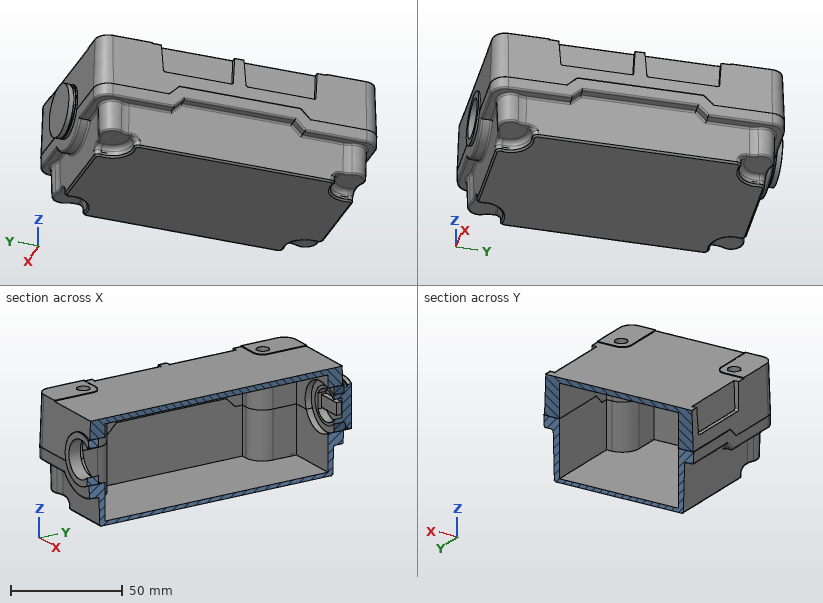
import cadquery as cq
import math

BASE_DRAFT = 1.5
COVER_DRAFT = 2.0
BASE_SLOPE = math.tan(math.radians(BASE_DRAFT))
COVER_SLOPE = math.tan(math.radians(COVER_DRAFT))

LENGTH = 140.7
WIDTH = 80.0
HEIGHT = 52.0
SIDE_JOINT_Z = 31.5
END_JOINT_Z = 26.7
JOINT_RAMP = 45.0
JOINT_FLAT_HALF = 29.1

RIM_HALF_X = WIDTH / 2
RIM_HALF_Y = 68.0
RIM_CORNER_R = 7.0
RIM_DEPTH = 6.2
RIM_ROUND = 0.8

WALL_HALF_X = 34.5
WALL_HALF_Y = 62.0
WALL_CHAMFER = 0.8

POST_INSET = 4.2
POST_R = 5.6
POST_BLEND_R = 9.3
NOTCH_INSET = 4.6
NOTCH_R = 9.5
NOTCH_TOP_Z = 5.2
NOTCH_CEILING_R = 2.3
NOTCH_SIDE_R = 2.3
POST_END_R = 0.8

PAD_STEP = 0.4
PAD_INNER_X = 23.9
PAD_INNER_Y = 41.8
PAD_R = 4.8
SCREW_X = 30.1
SCREW_Y = 47.7
SCREW_HOLE_D = 6.0

GRIP_FLOOR_Z = 37.8
GRIP_TOP_X = 36.6
GRIP_FLOOR_X = 37.5
GRIP_NEAR_Y = 2.3
GRIP_FAR_Y = 37.4
GRIP_TAPER = 0.8
GRIP_CORNER_R = 1.1

FLOOR = 2.3
ROOF = 3.0
CAVITY_HALF_X = 31.5
CAVITY_HALF_Y = 59.1
COLUMN_WALL = 4.1
COLUMN_R = PAD_R + COLUMN_WALL

PORT_Z = 31.5
BUSHING_D = 25.0
BORE_D = 18.7
BUSHING_BACK_Y = 62.3
BUSHING_FACE_Y = 68.8
LOBE_R = 18.4

PLUG_FACE_Y = LENGTH - BUSHING_FACE_Y
PLUG_HEAD = 2.4
PLUG_NECK_D = 23.3
PLUG_POCKET_D = 15.8
PLUG_POCKET_WIDTH = 13.8
PLUG_POCKET_DEPTH = 4.2
PLUG_BAR_WIDTH = 12.7
PLUG_BAR_HEIGHT = 6.2
PLUG_BAR_DEPTH = 1.4

SIGNS = (-1, 1)
TOLERANCE = 0.1
BESIDE_WALL = 1.4
CORNERS = [(sx, sy) for sx in SIGNS for sy in SIGNS]


def drafted_block(z, height, half_x, half_y, draft):
    """Rounded block with the given half sizes at z, narrowing towards its far end."""
    outline = cq.Sketch().rect(2 * half_x, 2 * half_y).vertices().fillet(RIM_CORNER_R)
    return cq.Workplane("XY").workplane(offset=z).placeSketch(outline).extrude(height, taper=draft)


def below_joint(drop):
    """Everything below the stepped joint, lowered by drop square to each stretch."""
    shift = drop * math.tan(math.radians(JOINT_RAMP / 2))
    inner = JOINT_FLAT_HALF - shift
    outer = inner + (SIDE_JOINT_Z - END_JOINT_Z) / math.tan(math.radians(JOINT_RAMP))
    far = 2 * RIM_HALF_Y
    points = [
        (-far, -HEIGHT),
        (-far, END_JOINT_Z - drop),
        (-outer, END_JOINT_Z - drop),
        (-inner, SIDE_JOINT_Z - drop),
        (inner, SIDE_JOINT_Z - drop),
        (outer, END_JOINT_Z - drop),
        (far, END_JOINT_Z - drop),
        (far, -HEIGHT),
    ]
    return cq.Workplane("YZ").polyline(points).close().extrude(2 * RIM_HALF_X, both=True)


def port_cylinder(diameter, y_start, y_end):
    plane = cq.Plane(origin=(0, y_start, PORT_Z), xDir=(1, 0, 0), normal=(0, 1, 0))
    return cq.Workplane(plane).circle(diameter / 2).extrude(y_end - y_start)


def ports():
    """Round opening for the bushings through both ends of the housing."""
    return port_cylinder(BUSHING_D, -2 * RIM_HALF_Y, 2 * RIM_HALF_Y)


def cavity():
    """Inner space shared by base and cover, with a screw column left standing in each corner."""
    height = HEIGHT - PAD_STEP - ROOF - FLOOR
    space = cq.Workplane("XY").workplane(offset=FLOOR)
    space = space.rect(2 * CAVITY_HALF_X, 2 * CAVITY_HALF_Y).extrude(height)
    column_x = PAD_INNER_X - COLUMN_WALL
    column_y = PAD_INNER_Y - COLUMN_WALL
    for sx, sy in CORNERS:
        space = space.cut(mirrored(corner_block(column_x, column_y, COLUMN_R), sx, sy))
    return space


def corner_block(inner_x, inner_y, inner_r):
    """Full-height block over the +X +Y corner, with its one inner vertical edge rounded."""
    block = cq.Workplane("XY").box(RIM_HALF_X, RIM_HALF_Y, 2 * HEIGHT, centered=False)
    return block.edges("|Z and <X and <Y").fillet(inner_r).translate((inner_x, inner_y, 0))


def mirrored(shape, sx, sy):
    """Copy of a shape made for the +X +Y corner, moved to the corner with the given signs."""
    if sx < 0:
        shape = shape.mirror("YZ")
    if sy < 0:
        shape = shape.mirror("XZ")
    return shape


def wall_outline(half_x, half_y):
    """Outline of the base walls with a rounded post blended into each corner."""
    post_x = half_x - POST_INSET
    post_y = half_y - POST_INSET
    reach = math.sqrt((POST_R + POST_BLEND_R) ** 2 - (POST_INSET + POST_BLEND_R) ** 2)
    share = POST_R / (POST_R + POST_BLEND_R)
    along = reach * share
    across = (POST_INSET + POST_BLEND_R) * share
    half_angle = math.atan2(reach, POST_INSET + POST_BLEND_R) / 2
    bend_along = reach - POST_BLEND_R * math.sin(half_angle)
    bend_across = POST_INSET + POST_BLEND_R * (1 - math.cos(half_angle))
    tip = POST_R / math.sqrt(2)

    def corner(sx, sy):
        return [
            (sx * (post_x - reach), sy * half_y),
            (sx * (post_x - bend_along), sy * (post_y + bend_across)),
            (sx * (post_x - along), sy * (post_y + across)),
            (sx * (post_x + tip), sy * (post_y + tip)),
            (sx * (post_x + across), sy * (post_y - along)),
            (sx * (post_x + bend_across), sy * (post_y - bend_along)),
            (sx * half_x, sy * (post_y - reach)),
        ]

    rounds = [corner(1, 1), corner(1, -1)[::-1], corner(-1, -1), corner(-1, 1)[::-1]]
    outline = cq.Workplane("XY").moveTo(*rounds[0][0])
    for index, points in enumerate(rounds):
        if index > 0:
            outline = outline.lineTo(*points[0])
        for middle, end in ((1, 2), (3, 4), (5, 6)):
            outline = outline.threePointArc(points[middle], points[end])
    return outline.close()


def base_walls():
    """Drafted walls and posts, with a rounded foot notch cut under each post."""
    notch_x = WALL_HALF_X - NOTCH_INSET
    notch_y = WALL_HALF_Y - NOTCH_INSET
    walls = wall_outline(WALL_HALF_X, WALL_HALF_Y).extrude(SIDE_JOINT_Z, taper=-BASE_DRAFT)
    notches = (
        cq.Workplane("XY")
        .rect(2 * notch_x, 2 * notch_y, forConstruction=True)
        .vertices()
        .circle(NOTCH_R)
        .extrude(NOTCH_TOP_Z)
    )
    walls = walls.cut(notches)

    def is_upright(edge):
        return abs(edge.BoundingBox().zlen - NOTCH_TOP_Z) < TOLERANCE

    def is_notch_top(edge):
        box = edge.BoundingBox()
        return abs(box.zmin - NOTCH_TOP_Z) < TOLERANCE and box.zlen < TOLERANCE

    def is_ceiling_corner(edge):
        inward = abs(edge.Center().x) < notch_x and abs(edge.Center().y) < notch_y
        return is_notch_top(edge) and inward and edge.Length() > NOTCH_R

    def is_post_corner(edge):
        outward = abs(edge.Center().x) > notch_x and abs(edge.Center().y) > notch_y
        return is_notch_top(edge) and outward and edge.Length() > 2 * POST_R

    walls = walls.edges().filter(is_upright).fillet(NOTCH_SIDE_R)
    walls = walls.edges().filter(is_ceiling_corner).fillet(NOTCH_CEILING_R)
    walls = walls.edges().filter(is_post_corner).fillet(POST_END_R)
    return walls.faces("<Z").edges().chamfer(WALL_CHAMFER)


def base_rim():
    rim = drafted_block(SIDE_JOINT_Z, -SIDE_JOINT_Z, RIM_HALF_X, RIM_HALF_Y, BASE_DRAFT)
    lobes = port_cylinder(2 * LOBE_R, -RIM_HALF_Y, RIM_HALF_Y)
    rim = rim.cut(below_joint(RIM_DEPTH).cut(lobes))

    def on_lower_edge(edge):
        center = edge.Center()
        outside = abs(center.x) > WALL_HALF_X + BESIDE_WALL or abs(center.y) > WALL_HALF_Y + BESIDE_WALL
        below_top = center.z < SIDE_JOINT_Z - TOLERANCE
        upright = edge.BoundingBox().zlen > LOBE_R / 2
        return outside and below_top and not upright

    return rim.edges().filter(on_lower_edge).fillet(RIM_ROUND)


def base():
    body = base_walls().union(base_rim())

    def under_rim(edge):
        center = edge.Center()
        from_side = abs(center.x) - WALL_HALF_X
        from_end = abs(center.y) - WALL_HALF_Y
        on_wall = abs(max(from_side, from_end)) < BESIDE_WALL
        lowest = PORT_Z - LOBE_R - TOLERANCE
        highest = SIDE_JOINT_Z - RIM_DEPTH + TOLERANCE
        upright = edge.BoundingBox().zlen > LOBE_R / 2
        return on_wall and lowest < center.z < highest and not upright

    body = body.edges().filter(under_rim).fillet(RIM_ROUND)
    body = body.intersect(below_joint(0))
    return body.cut(cavity()).cut(ports())


def grip_pocket():
    middle = (GRIP_NEAR_Y + GRIP_FAR_Y) / 2
    top_z = HEIGHT - PAD_STEP
    half = (GRIP_FAR_Y - GRIP_NEAR_Y) / 2
    far_x = 2 * RIM_HALF_X
    tall = (
        cq.Workplane("YZ")
        .polyline([
            (middle - half, top_z),
            (middle - half + GRIP_TAPER, GRIP_FLOOR_Z),
            (middle + half - GRIP_TAPER, GRIP_FLOOR_Z),
            (middle + half, top_z),
        ])
        .close()
        .extrude(far_x)
        .edges("|X and <Z")
        .fillet(GRIP_CORNER_R)
    )
    inner = (
        cq.Workplane("XZ")
        .polyline([(GRIP_TOP_X, top_z), (GRIP_FLOOR_X, GRIP_FLOOR_Z), (far_x, GRIP_FLOOR_Z), (far_x, top_z)])
        .close()
        .extrude(-2 * GRIP_FAR_Y)
    )
    return tall.intersect(inner)


def pad_recess():
    """Shallow layer taken off the roof everywhere except on the four corner pads."""
    layer = (
        cq.Workplane("XY")
        .workplane(offset=HEIGHT - PAD_STEP)
        .rect(2 * RIM_HALF_X, 2 * RIM_HALF_Y)
        .extrude(2 * PAD_STEP)
    )
    for sx, sy in CORNERS:
        layer = layer.cut(mirrored(corner_block(PAD_INNER_X, PAD_INNER_Y, PAD_R), sx, sy))
    return layer


def cover():
    step = (SIDE_JOINT_Z - END_JOINT_Z) * BASE_SLOPE
    body = drafted_block(END_JOINT_Z, HEIGHT - END_JOINT_Z, RIM_HALF_X - step, RIM_HALF_Y - step, COVER_DRAFT)
    body = body.cut(below_joint(0)).cut(pad_recess())
    for sx, sy in CORNERS:
        body = body.cut(mirrored(grip_pocket(), sx, sy))
    body = body.cut(cavity())
    holes = (
        cq.Workplane("XY")
        .rect(2 * SCREW_X, 2 * SCREW_Y, forConstruction=True)
        .vertices()
        .circle(SCREW_HOLE_D / 2)
        .extrude(2 * HEIGHT)
    )
    return body.cut(holes).cut(ports())


def bushing():
    """Ring in the +Y port; its outer face leans with the draft of the cover."""
    far_z = 2 * HEIGHT
    low_z = PORT_Z - BUSHING_D / 2
    leaning = (
        cq.Workplane("YZ")
        .polyline([
            (BUSHING_BACK_Y, 0),
            (BUSHING_FACE_Y + low_z * COVER_SLOPE, 0),
            (BUSHING_FACE_Y + (low_z - far_z) * COVER_SLOPE, far_z),
            (BUSHING_BACK_Y, far_z),
        ])
        .close()
        .extrude(BUSHING_D, both=True)
    )
    ring = port_cylinder(BUSHING_D, BUSHING_BACK_Y, PLUG_FACE_Y)
    return ring.intersect(leaning).cut(port_cylinder(BORE_D, BUSHING_BACK_Y, PLUG_FACE_Y))


def plug():
    """Head and neck outside, and a shank that fills the bore once the bushing is cut away."""
    head_back = PLUG_FACE_Y - PLUG_HEAD
    body = port_cylinder(BUSHING_D, head_back, PLUG_FACE_Y)
    body = body.union(port_cylinder(PLUG_NECK_D, BUSHING_BACK_Y, head_back))
    pocket = port_cylinder(PLUG_POCKET_D, BUSHING_BACK_Y, BUSHING_BACK_Y + PLUG_POCKET_DEPTH)
    pocket = pocket.intersect(cq.Workplane("XY").box(PLUG_POCKET_WIDTH, 4 * RIM_HALF_Y, 4 * HEIGHT))
    bar_length = PLUG_POCKET_DEPTH - PLUG_BAR_DEPTH
    bar = (
        cq.Workplane("XY")
        .box(PLUG_BAR_WIDTH, bar_length, PLUG_BAR_HEIGHT, centered=(True, False, True))
        .translate((0, BUSHING_BACK_Y + PLUG_BAR_DEPTH, PORT_Z))
    )
    return body.cut(pocket).union(bar).cut(bushing())


housing_base = base()
housing_cover = cover()
rear_bushing = bushing()
front_bushing = rear_bushing.mirror("XZ")
rear_plug = plug()

result = cq.Compound.makeCompound([
    housing_base.val(), housing_cover.val(), rear_bushing.val(), front_bushing.val(), rear_plug.val(),
])